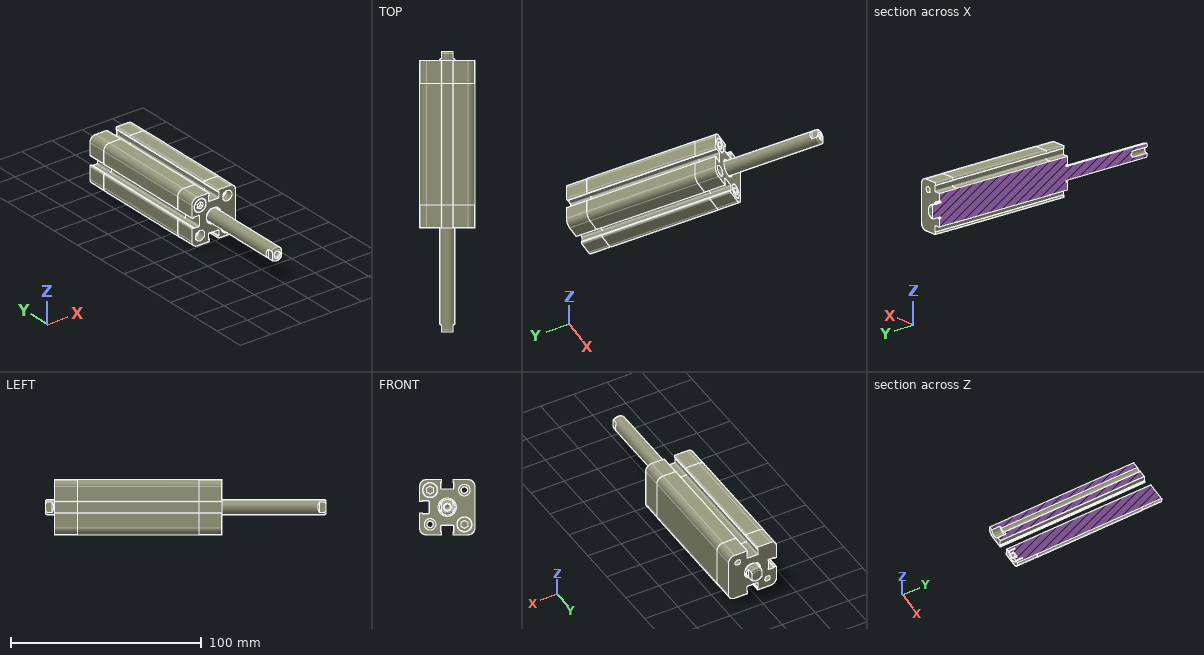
import cadquery as cq
import math

HOUSING_SIDE = 29.1
HOUSING_CORNER_RADIUS = 3.7
HOUSING_LENGTH = 87.8
CAP_LENGTH = 12.0
CAP_INSET = 0.07

ROD_LENGTH = 147.0
ROD_DIAMETER = 8.1
ROD_REAR_EXTENSION = 4.7
ROD_TIP_RADIUS = 1.0
FLAT_ACROSS = 6.0
FLAT_LENGTH = 3.5
FLAT_RUNOUT = 0.7
ROD_HOLE_DIAMETER = 3.2
ROD_HOLE_DEPTH = 10.0
ROD_HOLE_MOUTH_DIAMETER = 4.3
DRILL_POINT_ANGLE = 118.0

BEARING_BORE_DIAMETER = 9.5
BEARING_BORE_DEPTH = 1.0

SLOT_MOUTH_WIDTH = 5.9
SLOT_WIDTH = 6.6
SLOT_DEPTH = 5.0
SLOT_LIP = 1.5
SLOT_EDGE_RADIUS = 0.5

FASTENER_OFFSET = 9.0
MOUNTING_HOLE_DIAMETER = 3.2
MOUNTING_BORE_DIAMETER = 6.0
MOUNTING_BORE_DEPTH = 5.0
SCREW_BORE_DIAMETER = 8.0
SCREW_HEAD_DIAMETER = 7.5
SCREW_GAP_DEPTH = 4.0
SOCKET_ACROSS_CORNERS = 4.1
SOCKET_DEPTH = 2.0
SOCKET_SIDES = 6

ROD_FRONT = -ROD_LENGTH / 2
ROD_REAR = ROD_LENGTH / 2
HOUSING_REAR = ROD_REAR - ROD_REAR_EXTENSION
HOUSING_FRONT = HOUSING_REAR - HOUSING_LENGTH


def section_plane(y):
    """Plane across the part at y: local x is +X, local y is +Z, extrusion goes toward -Y."""
    return cq.Workplane("XZ", origin=(0, y, 0))


def cylinder(x, z, diameter, start, length):
    """Cylinder along +Y from the given start."""
    return section_plane(start).center(x, z).circle(diameter / 2).extrude(-length)


def sensor_slot(turn, start, length, side):
    """Slot cutter opening through the +Z face, turned about the rod axis."""
    face = side / 2
    floor = face - SLOT_DEPTH
    lip = face - SLOT_LIP
    half_mouth = SLOT_MOUTH_WIDTH / 2
    half_width = SLOT_WIDTH / 2
    arc_middle = SLOT_EDGE_RADIUS * math.sqrt(0.5)
    floor_centre_x = half_width - SLOT_EDGE_RADIUS
    floor_centre_z = floor + SLOT_EDGE_RADIUS
    mouth_centre_x = half_mouth + SLOT_EDGE_RADIUS
    mouth_centre_z = face - SLOT_EDGE_RADIUS
    half_slot = (
        section_plane(start)
        .moveTo(0, floor)
        .lineTo(floor_centre_x, floor)
        .threePointArc(
            (floor_centre_x + arc_middle, floor_centre_z - arc_middle),
            (half_width, floor_centre_z),
        )
        .lineTo(half_width, lip)
        .lineTo(half_mouth, lip)
        .lineTo(half_mouth, mouth_centre_z)
        .threePointArc(
            (mouth_centre_x - arc_middle, mouth_centre_z + arc_middle),
            (mouth_centre_x, face),
        )
        .lineTo(0, face)
        .close()
        .extrude(-length)
    )
    slot = half_slot.union(half_slot.mirror("YZ"))
    return slot.rotate((0, 0, 0), (0, 1, 0), turn)


def housing_block(start, length, side):
    """Length of housing with slots on the top, bottom and -X faces."""
    block = section_plane(start).rect(side, side).extrude(-length)
    block = block.edges("|Y").fillet(HOUSING_CORNER_RADIUS)
    for turn in (0, 180, -90):
        block = block.cut(sensor_slot(turn, start, length, side))
    return block


def mounting_hole(x, z):
    hole = cylinder(x, z, MOUNTING_HOLE_DIAMETER, HOUSING_FRONT, HOUSING_LENGTH)
    return hole.union(cylinder(x, z, MOUNTING_BORE_DIAMETER, HOUSING_FRONT, MOUNTING_BORE_DEPTH))


def cap_screw_recess(x, z):
    """Gap around a flush screw head, plus its hexagonal socket."""
    gap = cylinder(x, z, SCREW_BORE_DIAMETER, HOUSING_FRONT, SCREW_GAP_DEPTH)
    gap = gap.cut(cylinder(x, z, SCREW_HEAD_DIAMETER, HOUSING_FRONT, SCREW_GAP_DEPTH))
    socket = section_plane(HOUSING_FRONT).center(x, z).transformed(rotate=(0, 0, 90))
    socket = socket.polygon(SOCKET_SIDES, SOCKET_ACROSS_CORNERS).extrude(-SOCKET_DEPTH)
    return gap.union(socket)


def make_housing():
    tube_length = HOUSING_LENGTH - 2 * CAP_LENGTH
    housing = housing_block(HOUSING_FRONT + CAP_LENGTH, tube_length, HOUSING_SIDE)
    for cap_start in (HOUSING_FRONT, HOUSING_REAR - CAP_LENGTH):
        housing = housing.union(housing_block(cap_start, CAP_LENGTH, HOUSING_SIDE - 2 * CAP_INSET))
    for side in (1, -1):
        housing = housing.cut(mounting_hole(side * FASTENER_OFFSET, side * FASTENER_OFFSET))
        housing = housing.cut(cap_screw_recess(side * FASTENER_OFFSET, -side * FASTENER_OFFSET))
    for recess_start in (HOUSING_FRONT, HOUSING_REAR - BEARING_BORE_DEPTH):
        housing = housing.cut(cylinder(0, 0, BEARING_BORE_DIAMETER, recess_start, BEARING_BORE_DEPTH))
    return housing


def make_rod():
    """Turned rod with rounded tips."""
    rod = cylinder(0, 0, ROD_DIAMETER, ROD_FRONT, ROD_LENGTH)
    return rod.faces("<Y or >Y").edges().fillet(ROD_TIP_RADIUS)


def wrench_flat(side, end):
    """Cutter for one flat at the front (end=-1) or rear (end=1), sloping out to the rod surface."""
    inner = side * FLAT_ACROSS / 2
    outer = side * ROD_DIAMETER / 2
    tip = end * ROD_LENGTH / 2
    outline = [
        (inner, tip),
        (outer, tip),
        (outer, tip - end * (FLAT_LENGTH + FLAT_RUNOUT)),
        (inner, tip - end * FLAT_LENGTH),
    ]
    return cq.Workplane("XY").polyline(outline).close().extrude(ROD_DIAMETER / 2, both=True)


def rod_hole():
    """Blind hole in the front tip with a countersunk mouth and a conical bottom."""
    radius = ROD_HOLE_DIAMETER / 2
    mouth_radius = ROD_HOLE_MOUTH_DIAMETER / 2
    point_length = radius / math.tan(math.radians(DRILL_POINT_ANGLE / 2))
    profile = [
        (0, ROD_FRONT),
        (mouth_radius, ROD_FRONT),
        (radius, ROD_FRONT + mouth_radius - radius),
        (radius, ROD_FRONT + ROD_HOLE_DEPTH),
        (0, ROD_FRONT + ROD_HOLE_DEPTH + point_length),
    ]
    return cq.Workplane("XY").polyline(profile).close().revolve(360, (0, 0, 0), (0, 1, 0))


rod = make_rod()
for flat_end in (-1, 1):
    for flat_side in (-1, 1):
        rod = rod.cut(wrench_flat(flat_side, flat_end))

result = make_housing().union(rod).cut(rod_hole())